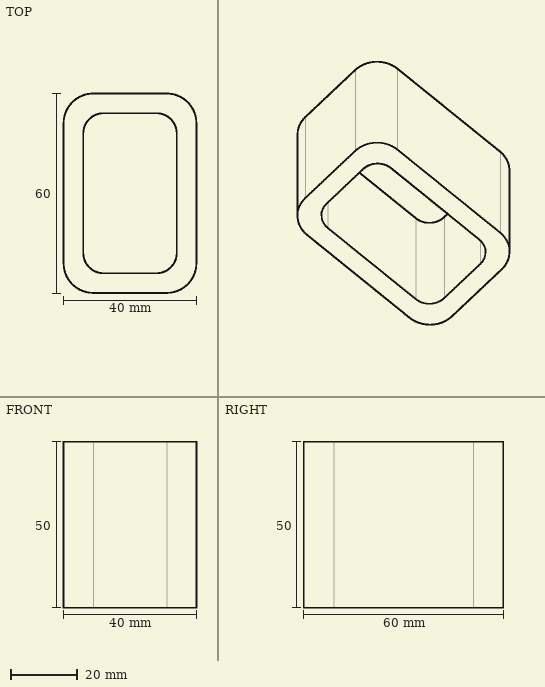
import cadquery as cq

width = 40.0
depth = 60.0
height = 50.0
wall = 6.0
outer_corner_radius = 9.0
inner_corner_radius = 6.0


def rounded_block(size_x, size_y, corner_radius):
    """Block of the full tube height with rounded vertical edges, standing on Z = 0."""
    block = cq.Workplane("XY").rect(size_x, size_y).extrude(height)
    return block.edges("|Z").fillet(corner_radius)


outer_body = rounded_block(width, depth, outer_corner_radius)
through_opening = rounded_block(width - 2 * wall, depth - 2 * wall, inner_corner_radius)

result = outer_body.cut(through_opening)